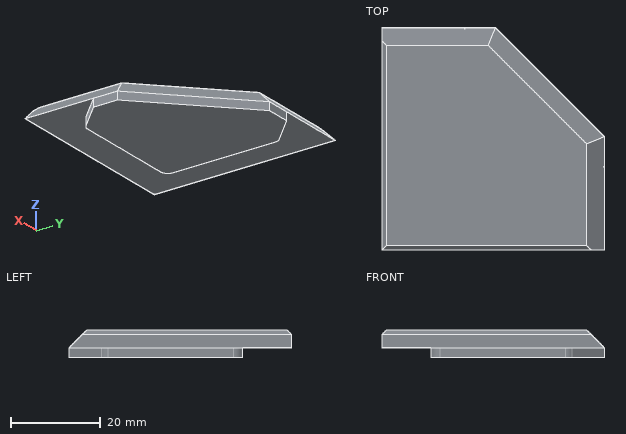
import cadquery as cq
import math

side = 50.0
plate_height = 4.0
corner_cut = 24.5
bevel_angle = 45.0
small_chamfer = 1.0

pad_height = 2.2
pad_setback = 11.0
pad_strip_width = 44.0
pad_fillet = 2.0

cut_start = side - corner_cut
flank_offset = pad_strip_width / math.sqrt(2)
flank_near = pad_setback + flank_offset
flank_far = side - flank_offset


def make_plate():
    """Plate with two chamfered sides and three sides bevelled over its full height."""
    block = (
        cq.Workplane("XY", origin=(0, 0, pad_height))
        .box(side, side, plate_height, centered=False)
        .edges(">Z and (<X or <Y)")
        .chamfer(small_chamfer)
    )
    overhang = side
    envelope = (
        cq.Workplane("XY", origin=(0, 0, pad_height))
        .polyline([
            (-overhang, -overhang),
            (side, -overhang),
            (side, cut_start),
            (cut_start, side),
            (-overhang, side),
        ])
        .close()
        .extrude(plate_height, taper=bevel_angle)
    )
    return block.intersect(envelope)


def make_pad():
    """Pad reaching the cut corner, with the three corners on the set-back side rounded."""
    pad = (
        cq.Workplane("XY")
        .polyline([
            (pad_setback, pad_setback),
            (flank_near, pad_setback),
            (side, flank_far),
            (side, cut_start),
            (cut_start, side),
            (flank_far, side),
            (pad_setback, flank_near),
        ])
        .close()
        .extrude(pad_height)
    )
    rounded_corners = [
        (pad_setback, pad_setback),
        (flank_near, pad_setback),
        (pad_setback, flank_near),
    ]
    for x, y in rounded_corners:
        corner_edge = cq.selectors.NearestToPointSelector((x, y, pad_height / 2))
        pad = pad.edges("|Z").edges(corner_edge).fillet(pad_fillet)
    return pad


result = make_plate().union(make_pad())